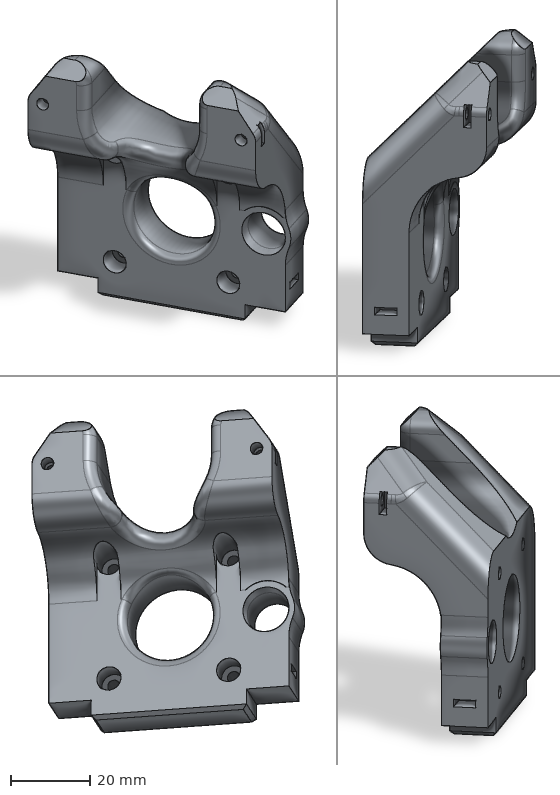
import cadquery as cq
import math

height = 74.0
half_width = 31.0
depth = 32.0
plate_thickness = 12.0
margin = 22.2

tongue_half_width = 20.05
tongue_height = 5.0
tongue_chamfer = 1.0

slope_start_z = 49.1
slope_edge_radius = 7.55
lip_z = 54.2
lip_radius = 8.0
plate_face_top_z = 31.5
top_front_chamfer = 3.9

corner_z = 63.35
corner_angle = 55.0
corner_radius = 4.0

opening_radius = 14.8
opening_axis_z = 62.1
arm_top_radius = 4.95
opening_edge_radius = 2.95

bore_diameter = 22.3
bore_z = 26.0
bore_edge_radius = 2.15
screw_offset = 15.5
screw_diameter = 3.2
screw_head_diameter = 6.2
screw_head_depth = plate_thickness / 2

boss_x = 25.1
boss_radius = 7.4
boss_clearance_radius = 7.6
boss_blend_radius = 13.85
boss_hole_diameter = 10.95
boss_mouth_diameter = 11.85
boss_mouth_depth = 3.0

arm_hole_x = 27.0
arm_hole_z = 62.0
arm_hole_depth = 10.0
nut_width = 5.7
nut_thickness = 1.9
nut_slot_depth = half_width - arm_hole_x + nut_width / 2
arm_nut_y = -27.0
foot_nut_y = -plate_thickness / 2
foot_nut_z = 11.0


def front_plane(y):
    """Sketch plane facing -Y at the given Y; local axes are X and Z, extrusion runs towards -Y."""
    return cq.Workplane("XZ", origin=(0, y, 0))


def cylinder_y(x, z, diameter, y_back, y_front):
    """Cylinder along Y between two Y positions."""
    return front_plane(y_back).center(x, z).circle(diameter / 2).extrude(y_back - y_front)


def block(x, y, z):
    """Axis-aligned box from (min, max) pairs."""
    size = [high - low for low, high in (x, y, z)]
    return cq.Workplane("XY").box(*size, centered=False).translate((x[0], y[0], z[0]))


def make_envelope():
    """Outer form with the back slope, slanted arm corners and their rounded edges."""
    top = height + margin / 2
    front = -depth - margin
    side_profile = [(0, 0), (0, slope_start_z), (slope_start_z - top, top), (front, top), (front, 0)]
    envelope = cq.Workplane("YZ").polyline(side_profile).close().extrude(half_width, both=True)

    corner_top_x = half_width - (top - corner_z) / math.tan(math.radians(corner_angle))
    outline = [
        (-half_width, 0), (-half_width, corner_z), (-corner_top_x, top),
        (corner_top_x, top), (half_width, corner_z), (half_width, 0),
    ]
    envelope = envelope.intersect(front_plane(0).polyline(outline).close().extrude(-front))

    envelope = envelope.faces(">(0, 1, 1)").edges("not |X").fillet(slope_edge_radius)
    return envelope.edges("|Y and (not <Z) and (not >Z)").fillet(corner_radius)


def lip_section(inset):
    """Side outline of everything behind the plate face, underside and lip, moved inwards by the inset."""
    lip_center_y = lip_radius - depth
    lip_overhang = depth - plate_thickness - lip_radius
    rise = lip_z - plate_face_top_z
    hollow_radius = (lip_overhang**2 + rise**2 - lip_radius**2) / (2 * (lip_overhang + lip_radius))
    hollow_center_y = -plate_thickness - hollow_radius
    joint_angle = math.atan2(rise, lip_center_y - hollow_center_y)

    def on_hollow(angle):
        radius = hollow_radius + inset
        return (hollow_center_y + radius * math.cos(angle), plate_face_top_z + radius * math.sin(angle))

    def on_lip(angle):
        radius = lip_radius - inset
        return (lip_center_y - radius * math.cos(angle), lip_z - radius * math.sin(angle))

    return (
        cq.Workplane("YZ")
        .moveTo(margin, -margin)
        .lineTo(inset - plate_thickness, -margin)
        .lineTo(*on_hollow(0))
        .threePointArc(on_hollow(joint_angle / 2), on_hollow(joint_angle))
        .threePointArc(on_lip(joint_angle / 2), on_lip(0))
        .lineTo(inset - depth, height + margin)
        .lineTo(margin, height + margin)
        .close()
    )


def arm_section(inset):
    """Front outline of the two arms around the U-shaped opening, moved inwards by the inset."""
    inner_x = opening_radius + inset
    arm_top_x = opening_radius + arm_top_radius
    arm_top_center_z = height - arm_top_radius
    top_z = height - inset
    bend = (arm_top_radius - inset) * math.sqrt(0.5)
    wide_x = half_width + margin
    return (
        front_plane(2 * margin)
        .moveTo(-wide_x, -2 * margin)
        .lineTo(-wide_x, top_z)
        .lineTo(-arm_top_x, top_z)
        .threePointArc((bend - arm_top_x, arm_top_center_z + bend), (-inner_x, arm_top_center_z))
        .lineTo(-inner_x, opening_axis_z)
        .threePointArc((0, opening_axis_z - inner_x), (inner_x, opening_axis_z))
        .lineTo(inner_x, arm_top_center_z)
        .threePointArc((arm_top_x - bend, arm_top_center_z + bend), (arm_top_x, top_z))
        .lineTo(wide_x, top_z)
        .lineTo(wide_x, -2 * margin)
        .close()
    )


def make_rounded_front():
    """Lip and arms with the front edge of the opening rounded.

    The sharp form is built one edge radius too small, then grown by that radius so its convex edges come
    out round. Its other edges lie outside the envelope or are cut away by the top chamfer.
    """
    inset = opening_edge_radius
    core = lip_section(inset).extrude(half_width + margin, both=True)
    core = core.intersect(arm_section(inset).extrude(2 * margin + 2 * depth))
    return core.union(core.shell(inset, kind="arc"))


def cut_top_chamfer(body):
    """45-degree chamfer where the arm tops meet the front of the lip."""
    edge = [
        (-depth, height - top_front_chamfer),
        (top_front_chamfer - depth, height),
        (-depth, height + top_front_chamfer),
        (-depth - top_front_chamfer, height),
    ]
    return body.cut(cq.Workplane("YZ").polyline(edge).close().extrude(half_width, both=True))


def shape_foot(body):
    """Leave only the narrow tongue below the side shoulders and chamfer its lower edges."""
    for side in (-1, 1):
        outer = sorted((side * tongue_half_width, side * (half_width + margin)))
        body = body.cut(block(outer, (-depth - margin, margin), (-margin, tongue_height)))
    return body.faces("<Z").edges().chamfer(tongue_chamfer)


def cut_bore(body):
    """Main bore with its front rim rounded, across both the plate face and the underside hollow."""
    body = body.cut(cylinder_y(0, bore_z, bore_diameter, margin, -depth - margin))
    reach = bore_diameter / 2 + bore_edge_radius
    around_rim = cq.selectors.BoxSelector(
        (-reach, -depth, bore_z - reach), (reach, -plate_thickness / 2, bore_z + reach), boundingbox=True
    )
    return body.edges(around_rim).fillet(bore_edge_radius)


def add_side_boss(body):
    """Half-round boss beside the plate, blended into the side wall by tangent hollow arcs."""
    reach_x = half_width + boss_blend_radius - boss_x
    reach_z = math.sqrt((boss_radius + boss_blend_radius) ** 2 - reach_x**2)
    touch = boss_radius / (boss_radius + boss_blend_radius)
    touch_x = boss_x + reach_x * touch
    touch_z = reach_z * touch
    blend_x = half_width + boss_blend_radius
    half_angle = math.atan2(reach_z - touch_z, blend_x - touch_x) / 2
    middle_x = blend_x - boss_blend_radius * math.cos(half_angle)
    middle_z = reach_z - boss_blend_radius * math.sin(half_angle)
    boss = (
        front_plane(0)
        .moveTo(boss_x, bore_z - reach_z)
        .lineTo(half_width, bore_z - reach_z)
        .threePointArc((middle_x, bore_z - middle_z), (touch_x, bore_z - touch_z))
        .threePointArc((boss_x + boss_radius, bore_z), (touch_x, bore_z + touch_z))
        .threePointArc((middle_x, bore_z + middle_z), (half_width, bore_z + reach_z))
        .lineTo(boss_x, bore_z + reach_z)
        .close()
        .extrude(plate_thickness)
    )
    return body.union(boss)


def cut_boss_hole(body):
    """Through hole with a tapered mouth, and room in front of the plate around it."""
    clearance = cylinder_y(boss_x, bore_z, 2 * boss_clearance_radius, -plate_thickness, -depth)
    hole = cylinder_y(boss_x, bore_z, boss_hole_diameter, margin, -depth)
    mouth = (
        front_plane(boss_mouth_depth - plate_thickness)
        .center(boss_x, bore_z)
        .circle(boss_hole_diameter / 2)
        .workplane(offset=boss_mouth_depth)
        .circle(boss_mouth_diameter / 2)
        .loft()
    )
    return body.cut(clearance).cut(hole).cut(mouth)


def cut_screw_holes(body):
    """Four counterbored holes around the bore; slots clear the hollow in front of the upper two."""
    head_floor_y = screw_head_depth - plate_thickness
    for x in (-screw_offset, screw_offset):
        for z in (bore_z - screw_offset, bore_z + screw_offset):
            body = body.cut(cylinder_y(x, z, screw_diameter, margin, -depth))
            body = body.cut(cylinder_y(x, z, screw_head_diameter, head_floor_y, -depth))
        slot_x = (x - screw_head_diameter / 2, x + screw_head_diameter / 2)
        body = body.cut(block(slot_x, (-depth, -plate_thickness), (bore_z, bore_z + screw_offset)))
    return body


def cut_arm_holes(body):
    """Blind screw hole in the front of each arm."""
    for x in (-arm_hole_x, arm_hole_x):
        body = body.cut(cylinder_y(x, arm_hole_z, screw_diameter, arm_hole_depth - depth, -depth))
    return body


def cut_nut_slots(body):
    """Nut slots open to both sides: upright ones across the arm holes, flat ones near the foot."""
    def span(center, size):
        return (center - size / 2, center + size / 2)

    for side in (-1, 1):
        x = sorted((side * (half_width - nut_slot_depth), side * (half_width + margin)))
        body = body.cut(block(x, span(arm_nut_y, nut_thickness), span(arm_hole_z, nut_width)))
        body = body.cut(block(x, span(foot_nut_y, nut_width), span(foot_nut_z, nut_thickness)))
    return body


result = make_envelope().intersect(make_rounded_front())
result = cut_top_chamfer(result)
result = shape_foot(result)
result = cut_bore(result)
result = add_side_boss(result)
result = cut_boss_hole(result)
result = cut_screw_holes(result)
result = cut_arm_holes(result)
result = cut_nut_slots(result)